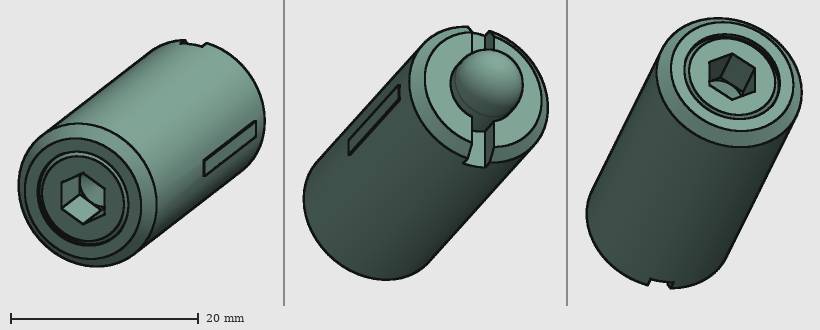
import cadquery as cq
import math

body_diameter = 16.0
body_length = 32.0
body_chamfer = 1.25

total_length = 37.0
pin_diameter = 7.5

slot_width = 2.5
slot_depth = 2.5

plug_diameter = 10.5
plug_chamfer = 0.5

socket_across_flats = 5.0
socket_depth = 5.0
socket_cone_depth = 1.45

strip_width = 1.75
strip_start = 14.05
strip_end = 28.05
strip_height = 0.1
strip_embedding = 0.75

body_radius = body_diameter / 2
pin_radius = pin_diameter / 2
plug_radius = plug_diameter / 2
socket_radius = socket_across_flats / 2


def revolve_about_y(outline):
    """Turn a closed half outline in the XY plane about the Y axis."""
    return outline.revolve(360, (0, 0, 0), (0, 1, 0))


def make_body():
    body = cq.Workplane("XZ").circle(body_radius).extrude(-body_length)
    return body.faces("<Y or >Y").chamfer(body_chamfer)


def make_driver_slot():
    """Slot across the nose end, running right through along Z."""
    return cq.Workplane("XY").box(
        slot_width, slot_depth, body_diameter, centered=(True, False, True)
    ).translate((0, body_length - slot_depth, 0))


def make_pin():
    """Hemispherical nose pin, rooted at the floor of the driver slot."""
    root = body_length - slot_depth
    dome_start = total_length - pin_radius
    dome_middle = pin_radius * math.sqrt(0.5)
    return revolve_about_y(
        cq.Workplane("XY")
        .moveTo(0, root)
        .lineTo(pin_radius, root)
        .lineTo(pin_radius, dome_start)
        .threePointArc((dome_middle, dome_start + dome_middle), (0, total_length))
        .close()
    )


def make_plug_groove():
    """V groove between the straight plug bore and the chamfered plug rim."""
    return revolve_about_y(
        cq.Workplane("XY").polyline([
            (plug_radius - plug_chamfer, 0),
            (plug_radius, 0),
            (plug_radius, plug_chamfer),
        ]).close()
    )


def make_socket():
    corner_diameter = socket_across_flats / math.cos(math.pi / 6)
    hexagon = (
        cq.Workplane("XZ")
        .transformed(rotate=(0, 0, 90))
        .polygon(6, corner_diameter)
        .extrude(-socket_depth)
    )
    cone = revolve_about_y(
        cq.Workplane("XY").polyline([
            (0, socket_depth),
            (socket_radius, socket_depth),
            (0, socket_depth + socket_cone_depth),
        ]).close()
    )
    return hexagon.union(cone)


def make_locking_strip():
    strip_base = body_radius - strip_embedding
    return cq.Workplane("XY").box(
        strip_embedding + strip_height, strip_end - strip_start, strip_width,
        centered=(False, False, True),
    ).translate((strip_base, strip_start, 0))


result = (
    make_body()
    .cut(make_driver_slot())
    .union(make_pin())
    .cut(make_plug_groove())
    .cut(make_socket())
    .union(make_locking_strip())
)